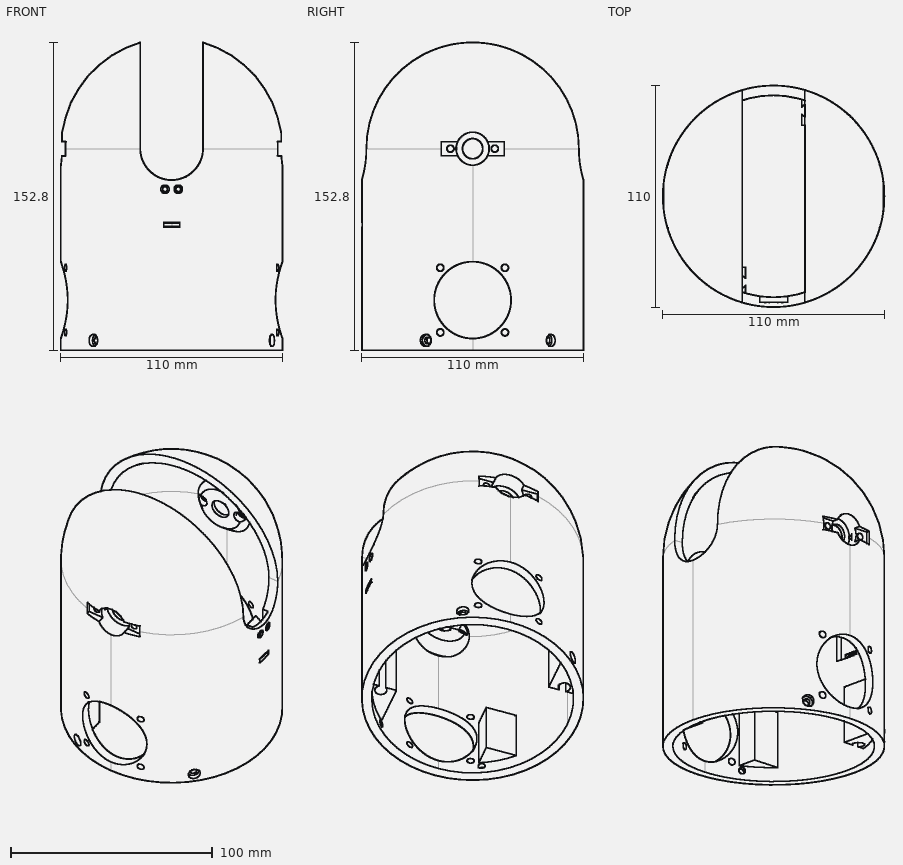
import cadquery as cq
import math

TOTAL_HEIGHT = 152.8
OUTER_RADIUS = 55
INNER_DIAMETER = 100.0
INNER_RADIUS = INNER_DIAMETER / 2
REACH = OUTER_RADIUS + 3
SLOT_WIDTH = 31.0
SLOT_RADIUS = SLOT_WIDTH / 2
DOME_CENTER_Z = TOTAL_HEIGHT - math.sqrt(OUTER_RADIUS**2 - SLOT_RADIUS**2)

PIVOT_BORE = 10.0
PIVOT_RECESS_DIAMETER = 16.3
PIVOT_RECESS_FLOOR = 46.1
PIVOT_BOSS_DIAMETER = 35.0
PIVOT_BOSS_FACE = 44.2
PIVOT_BOSS_CHAMFER = 5.5
HORN_LENGTH = 31.2
HORN_HEIGHT = 7.0
HORN_FLOOR = 51.0
HORN_SCREW_OFFSET = 11.0
HORN_SCREW_HEAD_DEPTH = 3.5

FAN_Z = 24.9
FAN_BORE = 38.0
FAN_SCREW_SPACING = 32.1

SCREW_BORE = 3.4
SCREW_HEAD_DIAMETER = 6.0

BASE_SCREW_Z = 4.9
BASE_SCREW_ANGLES = (45, -25)
BASE_SCREW_SEAT = 52.5

POCKET_WIDTH = 13.9
POCKET_BACK = 52.5
POCKET_BOTTOM = 59.6
PORT_WIDTH = 8.0
PORT_HEIGHT = 2.5
PORT_RIM_DEPTH = 1.8
PORT_STEP = 0.5
PORT_Z = 62.2
LIGHT_SPACING = 6.5
LIGHT_Z = 79.9
LIGHT_BORE = 2.5
LIGHT_RIM_DIAMETER = 4.1
LIGHT_RIM_DEPTH = 1.0

BLOCK_BOTTOM = 7.3
BLOCK_TOP = 36.7
DRILLED_BLOCK_CORNER = (13.9, 35.1)
DRILLED_BLOCK_HOLE = (16.3, 42.5)
PLAIN_BLOCK_CORNER = (35.0, -19.9)


def dome_solid(radius):
    """Upright cylinder from the base with a hemisphere on top."""
    diagonal = radius * math.sqrt(0.5)
    return (
        cq.Workplane("XZ")
        .lineTo(radius, 0)
        .lineTo(radius, DOME_CENTER_Z)
        .threePointArc((diagonal, DOME_CENTER_Z + diagonal), (0, DOME_CENTER_Z + radius))
        .close()
        .revolve(360, (0, 0), (0, 1))
    )


def box(x_range, y_range, z_range):
    """Box spanning the given (low, high) ranges."""
    sizes = [high - low for low, high in (x_range, y_range, z_range)]
    lows = (x_range[0], y_range[0], z_range[0])
    return cq.Workplane("XY").box(*sizes, centered=False).translate(lows)


def x_cylinder(diameter, y, z, start, end):
    """Cylinder along X, from start to end."""
    return (
        cq.Workplane("YZ", origin=(start, y, z))
        .circle(diameter / 2)
        .extrude(end - start)
    )


def pivot_boss():
    boss = x_cylinder(PIVOT_BOSS_DIAMETER, 0, DOME_CENTER_Z, PIVOT_BOSS_FACE, REACH)
    return boss.faces("<X").edges().chamfer(PIVOT_BOSS_CHAMFER)


def mounting_blocks():
    heights = (BLOCK_BOTTOM, BLOCK_TOP)
    drilled_x, drilled_y = DRILLED_BLOCK_CORNER
    plain_x, plain_y = PLAIN_BLOCK_CORNER
    drilled = box((drilled_x, plain_x), (drilled_y, REACH), heights)
    hole = (
        cq.Workplane("XY")
        .center(*DRILLED_BLOCK_HOLE)
        .circle(SCREW_HEAD_DIAMETER / 2)
        .extrude(BLOCK_TOP)
    )
    plain = box((plain_x, REACH), (-REACH, plain_y), heights)
    return drilled.cut(hole).union(plain)


def slot():
    """U-shaped slot along Y, open at the top."""
    height = TOTAL_HEIGHT - DOME_CENTER_Z
    sides = box(
        (-SLOT_RADIUS, SLOT_RADIUS),
        (-REACH, REACH),
        (DOME_CENTER_Z, DOME_CENTER_Z + 2 * height),
    )
    bottom = (
        cq.Workplane("XZ", origin=(0, REACH, DOME_CENTER_Z))
        .circle(SLOT_RADIUS)
        .extrude(2 * REACH)
    )
    return sides.union(bottom)


def pivot_cuts():
    z = DOME_CENTER_Z
    head_seat = PIVOT_BOSS_FACE + HORN_SCREW_HEAD_DEPTH
    cuts = x_cylinder(PIVOT_BORE, 0, z, 0, REACH)
    cuts = cuts.union(x_cylinder(PIVOT_RECESS_DIAMETER, 0, z, PIVOT_RECESS_FLOOR, REACH))
    cuts = cuts.union(
        box(
            (HORN_FLOOR, REACH),
            (-HORN_LENGTH / 2, HORN_LENGTH / 2),
            (z - HORN_HEIGHT / 2, z + HORN_HEIGHT / 2),
        )
    )
    for y in (-HORN_SCREW_OFFSET, HORN_SCREW_OFFSET):
        cuts = cuts.union(x_cylinder(SCREW_BORE, y, z, 0, REACH))
        cuts = cuts.union(x_cylinder(SCREW_HEAD_DIAMETER, y, z, 0, head_seat))
    return cuts


def fan_cuts():
    offset = FAN_SCREW_SPACING / 2
    cuts = x_cylinder(FAN_BORE, 0, FAN_Z, 0, REACH)
    for y in (-offset, offset):
        for z in (FAN_Z - offset, FAN_Z + offset):
            cuts = cuts.union(x_cylinder(SCREW_BORE, y, z, 0, REACH))
    return cuts


def base_screw_cut(angle):
    bore = x_cylinder(SCREW_BORE, 0, BASE_SCREW_Z, REACH / 2, REACH)
    seat = x_cylinder(SCREW_HEAD_DIAMETER, 0, BASE_SCREW_Z, BASE_SCREW_SEAT, REACH)
    return bore.union(seat).rotate((0, 0, 0), (0, 0, 1), angle)


def front_cuts():
    cuts = box(
        (-POCKET_WIDTH / 2, POCKET_WIDTH / 2),
        (-POCKET_BACK, 0),
        (POCKET_BOTTOM, DOME_CENTER_Z),
    )
    for step, front in ((0, OUTER_RADIUS - PORT_RIM_DEPTH), (PORT_STEP, 0)):
        half_height = PORT_HEIGHT / 2 - step
        port = box(
            (-PORT_WIDTH / 2, PORT_WIDTH / 2),
            (-REACH, -front),
            (PORT_Z - half_height, PORT_Z + half_height),
        )
        cuts = cuts.union(port)
    for x in (-LIGHT_SPACING / 2, LIGHT_SPACING / 2):
        plane = cq.Workplane("XZ", origin=(x, -OUTER_RADIUS, LIGHT_Z))
        bore = plane.circle(LIGHT_BORE / 2).extrude(-REACH)
        rim = plane.circle(LIGHT_RIM_DIAMETER / 2).extrude(-LIGHT_RIM_DEPTH)
        cuts = cuts.union(bore).union(rim)
    return cuts


outer = dome_solid(OUTER_RADIUS)
inner_parts = pivot_boss().union(mounting_blocks()).intersect(outer)
shell = outer.cut(dome_solid(INNER_RADIUS)).union(inner_parts)
shell = shell.cut(pivot_cuts()).cut(fan_cuts()).cut(slot())
for screw_angle in BASE_SCREW_ANGLES:
    shell = shell.cut(base_screw_cut(screw_angle))
half = shell.intersect(box((0, REACH), (-REACH, REACH), (0, TOTAL_HEIGHT)))
result = half.union(half.rotate((0, 0, 0), (0, 0, 1), 180)).cut(front_cuts())